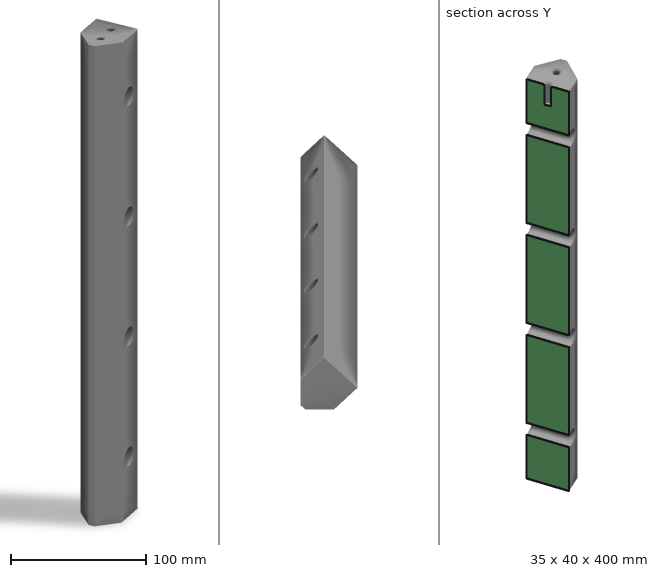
import cadquery as cq

width = 35.0
depth = 40.0
length = 400.0
nose_width = 5.0
bevel = (width - nose_width) / 2
edge_break = 0.4

cross_hole_diameter = 14.0
cross_hole_chamfer = 0.5
cross_hole_from_back = 14.0
cross_hole_pitch = 100.0
cross_hole_count = 4

end_hole_diameter = 5.0
end_hole_chamfer = 1.25
end_hole_depth = 20.0
end_hole_from_back = 10.0
end_hole_spacing = 16.0
end_hole_count = 2


def make_bar():
    """Block with lightly broken edges, then two 45 degree bevels leaving a sharp nose."""
    block = cq.Workplane("XY").box(width, depth, length, centered=(True, False, False))
    block = block.edges("not <Y").chamfer(edge_break)
    for side in (-1, 1):
        corner = [
            (side * nose_width / 2, 0),
            (side * width / 2, 0),
            (side * width / 2, bevel),
        ]
        block = block.cut(cq.Workplane("XY").polyline(corner).close().extrude(length))
    return block


def countersink(mouth, inward, diameter, chamfer):
    """45 degree cone widening a hole at its mouth."""
    radius = diameter / 2
    return cq.Solid.makeCone(radius + chamfer, radius, chamfer, mouth, inward)


def cut_cross_hole(bar, z):
    y = depth - cross_hole_from_back
    left = cq.Vector(-width / 2, y, z)
    right = cq.Vector(width / 2, y, z)
    along_x = cq.Vector(1, 0, 0)
    hole = cq.Solid.makeCylinder(cross_hole_diameter / 2, width, left, along_x)
    bar = bar.cut(cq.Workplane(hole))
    for mouth, inward in ((left, along_x), (right, -along_x)):
        cone = countersink(mouth, inward, cross_hole_diameter, cross_hole_chamfer)
        bar = bar.cut(cq.Workplane(cone))
    return bar


def cut_end_hole(bar, y):
    mouth = cq.Vector(0, y, length)
    down = cq.Vector(0, 0, -1)
    hole = cq.Solid.makeCylinder(end_hole_diameter / 2, end_hole_depth, mouth, down)
    cone = countersink(mouth, down, end_hole_diameter, end_hole_chamfer)
    return bar.cut(cq.Workplane(hole)).cut(cq.Workplane(cone))


result = make_bar()

first_cross_hole_z = (length - (cross_hole_count - 1) * cross_hole_pitch) / 2
for index in range(cross_hole_count):
    result = cut_cross_hole(result, first_cross_hole_z + index * cross_hole_pitch)

for index in range(end_hole_count):
    result = cut_end_hole(result, depth - end_hole_from_back - index * end_hole_spacing)